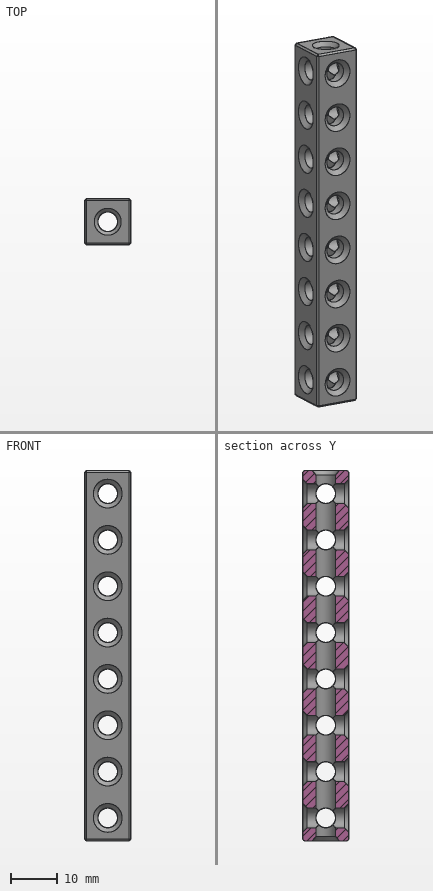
import cadquery as cq

pitch = 10.0
hole_count = 8
bore_diameter = 4.2
side_sink_diameter = 6.2
end_sink_diameter = 5.8
sink_depth = 1.0
edge_chamfer = 0.4

length = hole_count * pitch
half_width = pitch / 2


def countersunk_bore(bore_length, mouth_diameter):
    """Through-hole cutter along Z from z = 0, countersunk at both ends."""
    bore_radius = bore_diameter / 2
    mouth_radius = mouth_diameter / 2
    return (
        cq.Workplane("XZ")
        .moveTo(0, 0)
        .lineTo(mouth_radius, 0)
        .lineTo(bore_radius, sink_depth)
        .lineTo(bore_radius, bore_length - sink_depth)
        .lineTo(mouth_radius, bore_length)
        .lineTo(0, bore_length)
        .close()
        .revolve(360, (0, 0, 0), (0, 1, 0))
    )


bar = (
    cq.Workplane("XY")
    .box(pitch, pitch, length, centered=(True, True, False))
    .edges()
    .chamfer(edge_chamfer)
)

bar = bar.cut(countersunk_bore(length, end_sink_diameter))

side_bore = countersunk_bore(pitch, side_sink_diameter).translate((0, 0, -half_width))
bore_along_x = side_bore.rotate((0, 0, 0), (0, 1, 0), 90)
bore_along_y = side_bore.rotate((0, 0, 0), (1, 0, 0), 90)
for index in range(hole_count):
    height = (index + 0.5) * pitch
    bar = bar.cut(bore_along_x.translate((0, 0, height)))
    bar = bar.cut(bore_along_y.translate((0, 0, height)))

result = bar